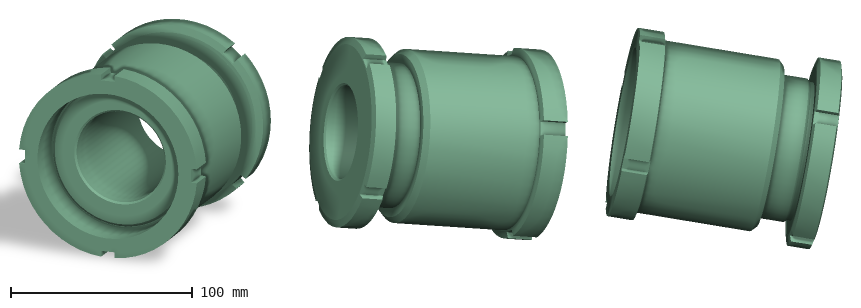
import cadquery as cq
total_length = 113.66
head_radius = 52.5
slot_count = 4
slot_width = 8.0
slot_depth = 3.5
thread_radius = 40.0

housing_length = 82.0
housing_radius = 48.0
housing_rear_chamfer = 3.0
flange_thickness = 15.0
flange_chamfer_width = 4.0
flange_chamfer_depth = 1.0
counterbore_radius = 41.5
counterbore_depth = 21.0
housing_bore_chamfer = 0.5

head_thickness = 14.0
head_slot_angle = 49.1
head_chamfer_width = 4.0
head_chamfer_depth = 1.1
head_recess_radius = 46.5
head_recess_depth = 0.3
undercut_radius = 38.5
thread_end_y = 97.8
thread_chamfer_length = 1.5
adjuster_front_y = 18.5
bore_radius = 26.0
bore_chamfer = 1.0


def revolved(points):
    """Turn an outline of (radius, y) points about the Y axis."""
    return cq.Workplane("XY").polyline(points).close().revolve(360, (0, 0, 0), (0, 1, 0))


def cut_rim_slots(body, start_y, end_y, first_angle):
    """Cut evenly spaced spanner slots into the rim between two Y positions."""
    for index in range(slot_count):
        slot = (
            cq.Workplane("XY")
            .box(2 * slot_depth, end_y - start_y, slot_width)
            .translate((head_radius, (start_y + end_y) / 2, 0))
            .rotate((0, 0, 0), (0, 1, 0), -first_angle - index * 360 / slot_count)
        )
        body = body.cut(slot)
    return body


def make_housing():
    flange_rim_end = flange_thickness - flange_chamfer_depth
    bush = revolved([
        (counterbore_radius, 0),
        (head_radius, 0),
        (head_radius, flange_rim_end),
        (head_radius - flange_chamfer_width, flange_thickness),
        (housing_radius, flange_thickness),
        (housing_radius, housing_length - housing_rear_chamfer),
        (housing_radius - housing_rear_chamfer, housing_length),
        (thread_radius, housing_length),
        (thread_radius, counterbore_depth + housing_bore_chamfer),
        (thread_radius + housing_bore_chamfer, counterbore_depth),
        (counterbore_radius, counterbore_depth),
    ])
    return cut_rim_slots(bush, 0, flange_thickness, 0)


def make_adjuster():
    head_front_y = total_length - head_thickness
    head_face_radius = head_radius - head_chamfer_width
    bush = revolved([
        (bore_radius + bore_chamfer, adjuster_front_y),
        (undercut_radius, adjuster_front_y),
        (thread_radius, adjuster_front_y + thread_chamfer_length),
        (thread_radius, thread_end_y - thread_chamfer_length),
        (undercut_radius, thread_end_y),
        (undercut_radius, head_front_y + head_recess_depth),
        (head_recess_radius, head_front_y + head_recess_depth),
        (head_recess_radius, head_front_y),
        (head_face_radius, head_front_y),
        (head_radius, head_front_y + head_chamfer_depth),
        (head_radius, total_length - head_chamfer_depth),
        (head_face_radius, total_length),
        (bore_radius + bore_chamfer, total_length),
        (bore_radius, total_length - bore_chamfer),
        (bore_radius, adjuster_front_y + bore_chamfer),
    ])
    return cut_rim_slots(bush, head_front_y, total_length, head_slot_angle)


housing = make_housing()
adjuster = make_adjuster()

result = cq.Compound.makeCompound([housing.val(), adjuster.val()])